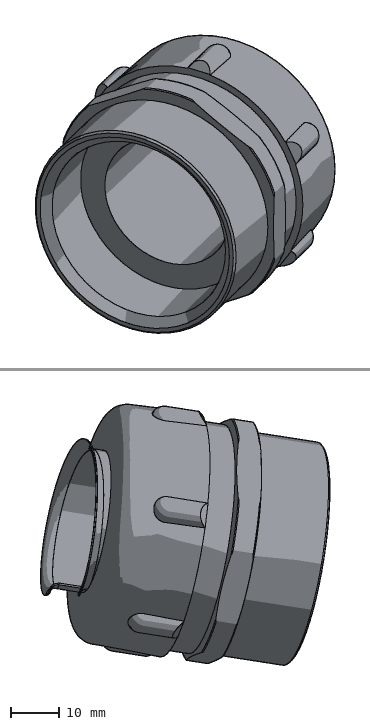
import cadquery as cq
import math


total_length = 52.7
height_over_ribs = 54.35

barrel_diameter = 46.7
barrel_edge_chamfer = 0.45
bore_diameter = 40.3
bore_depth = 14.65
mouth_diameter = 44.0
passage_diameter = 29.0

nut_start = 14.7
nut_end = 20.55
nut_across_flats = 49.1
nut_corner_diameter = 51.6
nut_corner_blend = 2.4
nut_face_bevel = 0.55
nut_edge_chamfer = 0.2

collar_diameter = 48.0

cap_start = 26.3
cap_end = 44.65
cap_base_diameter = 51.05
cap_shoulder_diameter = 50.2
cap_shoulder_height = 40.8
cap_face_diameter = 43.05

rib_count = 6
rib_radius = 2.8
rib_round_start = 34.75
rib_turn = 3.0
rib_axis_radius = (height_over_ribs / 2 - rib_radius) / math.cos(math.radians(rib_turn))
rib_crest_radius = rib_axis_radius + rib_radius

spout_diameter = 29.8
lip_pitch = 6.15
lip_flare = 1.75
lip_thickness = 0.315
lip_start_angle = 72.0
lip_root_inset = 0.05
lip_root_overlap = 0.25

passage_radius = passage_diameter / 2
spout_radius = spout_diameter / 2
lip_root_radius = passage_radius + lip_root_inset
lip_radius = spout_radius + lip_flare
flare_rise = lip_radius - lip_root_radius
flare_base = total_length - lip_pitch - flare_rise


def cylinder(diameter, start, end):
    return cq.Workplane("XY").workplane(offset=start).circle(diameter / 2).extrude(end - start)


def revolve_about_axis(profile):
    return profile.close().revolve(360, (0, 0, 0), (0, 1, 0))


def make_nut():
    corner_radius = nut_corner_diameter / 2
    across_corners = nut_across_flats / math.cos(math.pi / 6)
    height = nut_end - nut_start
    hexagon = (
        cq.Workplane("XY").workplane(offset=nut_start)
        .polygon(6, across_corners).extrude(height)
        .rotate((0, 0, 0), (0, 0, 1), 30)
    )
    prism = hexagon.intersect(cylinder(nut_corner_diameter, nut_start, nut_end))
    prism = prism.edges("|Z").fillet(nut_corner_blend)
    envelope = revolve_about_axis(
        cq.Workplane("XZ")
        .moveTo(0, nut_start)
        .lineTo(barrel_diameter / 2, nut_start)
        .lineTo(corner_radius - nut_edge_chamfer, nut_start + nut_face_bevel)
        .lineTo(corner_radius, nut_start + nut_face_bevel + nut_edge_chamfer)
        .lineTo(corner_radius, nut_end - nut_face_bevel - nut_edge_chamfer)
        .lineTo(corner_radius - nut_edge_chamfer, nut_end - nut_face_bevel)
        .lineTo(collar_diameter / 2, nut_end)
        .lineTo(0, nut_end)
    )
    return prism.intersect(envelope)


def make_cap():
    shoulder_radius = cap_shoulder_diameter / 2
    face_radius = cap_face_diameter / 2
    return revolve_about_axis(
        cq.Workplane("XZ")
        .moveTo(0, cap_start)
        .lineTo(cap_base_diameter / 2, cap_start)
        .lineTo(shoulder_radius, cap_shoulder_height)
        .tangentArcPoint((face_radius, cap_end), relative=False)
        .lineTo(0, cap_end)
    )


def make_rib(angle):
    """Round-nosed rib whose open end slopes at 45 degrees down to the cap edge."""
    rib = cylinder(2 * rib_radius, cap_start, rib_round_start)
    rib = rib.union(cq.Workplane("XY").sphere(rib_radius).translate((0, 0, rib_round_start)))
    rib = rib.translate((0, rib_axis_radius, 0))
    slope = rib_crest_radius - cap_base_diameter / 2
    end_cut = (
        cq.Workplane("YZ")
        .moveTo(rib_crest_radius - slope, cap_start)
        .lineTo(rib_crest_radius, cap_start + slope)
        .lineTo(rib_crest_radius + slope, cap_start + slope)
        .lineTo(rib_crest_radius + slope, cap_start - 2 * rib_radius)
        .lineTo(0, cap_start - 2 * rib_radius)
        .lineTo(0, cap_start)
        .close().extrude(2 * rib_radius, both=True)
    )
    return rib.cut(end_cut).rotate((0, 0, 0), (0, 0, 1), angle)


def sweep_helix(profile, turns):
    """Sweep a profile in the XZ plane along a helix climbing about the Z axis."""
    path = cq.Wire.makeHelix(lip_pitch, lip_pitch * turns, spout_radius)
    return profile.sweep(cq.Workplane(obj=path), isFrenet=True)


def make_spout():
    tube = cylinder(spout_diameter, cap_shoulder_height, total_length)

    for half_turn in range(2):
        trim = sweep_helix(
            cq.Workplane("XZ")
            .center(spout_radius, lip_pitch)
            .rect(spout_radius, 2 * lip_pitch),
            0.5,
        )
        trim = trim.rotate((0, 0, 0), (0, 0, 1), 180 * half_turn)
        trim = trim.translate((0, 0, flare_base + lip_pitch * half_turn / 2))
        tube = tube.cut(trim)

    outer_arc = flare_rise - lip_thickness
    bend = math.sqrt(0.5)
    lip_profile = (
        cq.Workplane("XZ")
        .moveTo(lip_root_radius, -lip_root_overlap)
        .lineTo(lip_root_radius + lip_thickness, -lip_root_overlap)
        .lineTo(lip_root_radius + lip_thickness, 0)
        .threePointArc((lip_radius - outer_arc * bend, outer_arc * bend), (lip_radius, outer_arc))
        .lineTo(lip_radius, flare_rise)
        .threePointArc((lip_radius - flare_rise * bend, flare_rise * bend), (lip_root_radius, 0))
        .close()
    )
    lip = sweep_helix(lip_profile, 1).translate((0, 0, flare_base))
    return tube, lip


barrel = cylinder(barrel_diameter, 0, nut_end).faces("<Z").chamfer(barrel_edge_chamfer)
collar = cylinder(collar_diameter, nut_end, cap_start)
tube, lip = make_spout()

body = barrel.union(make_nut()).union(collar).union(make_cap())
for index in range(rib_count):
    body = body.union(make_rib(360 / rib_count * index + rib_turn))
body = body.union(tube.rotate((0, 0, 0), (0, 0, 1), lip_start_angle))

mouth_depth = (mouth_diameter - bore_diameter) / 2
bore = revolve_about_axis(
    cq.Workplane("XZ")
    .lineTo(mouth_diameter / 2, 0)
    .lineTo(bore_diameter / 2, mouth_depth)
    .lineTo(bore_diameter / 2, bore_depth)
    .lineTo(passage_radius, bore_depth)
    .lineTo(passage_radius, total_length)
    .lineTo(0, total_length)
)
body = body.cut(bore)
body = body.union(lip.rotate((0, 0, 0), (0, 0, 1), lip_start_angle))

result = body.rotate((0, 0, 0), (1, 0, 0), -90)